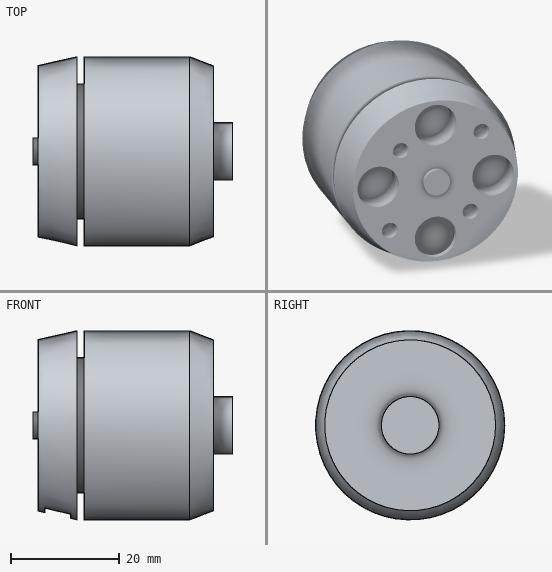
import cadquery as cq
import math

front_face_x = 1.0
head_end_x = 8.2
body_start_x = 9.5
taper_start_x = 29.05
body_end_x = 33.45
shaft_end_x = 37.0

pin_diameter = 5.0
front_face_diameter = 31.75
body_diameter = 35.0
neck_diameter = 25.0
rear_face_diameter = 31.6
shaft_diameter = 10.65

hole_depth = 4.45
large_hole_diameter = 8.0
large_hole_pitch_radius = 11.05
small_hole_diameter = 3.0
inner_pitch_radius = 9.5
outer_pitch_radius = 12.5

window_start_x = 2.22
window_end_x = 7.0
window_width = 10.25
window_top_z = large_hole_diameter / 2 - large_hole_pitch_radius


def cylinder_section(diameter, start_x, end_x):
    """Round bar along X."""
    return cq.Workplane("YZ", origin=(start_x, 0, 0)).circle(diameter / 2).extrude(end_x - start_x)


def turned_body():
    """Tapered head, neck, rear-tapered barrel and both shaft ends revolved about X."""
    return (
        cq.Workplane("XY")
        .moveTo(0, 0)
        .lineTo(0, pin_diameter / 2)
        .lineTo(front_face_x, pin_diameter / 2)
        .lineTo(front_face_x, front_face_diameter / 2)
        .lineTo(head_end_x, body_diameter / 2)
        .lineTo(head_end_x, neck_diameter / 2)
        .lineTo(body_start_x, neck_diameter / 2)
        .lineTo(body_start_x, body_diameter / 2)
        .lineTo(taper_start_x, body_diameter / 2)
        .lineTo(body_end_x, rear_face_diameter / 2)
        .lineTo(body_end_x, shaft_diameter / 2)
        .lineTo(shaft_end_x, shaft_diameter / 2)
        .lineTo(shaft_end_x, 0)
        .close()
        .revolve(360, (0, 0, 0), (1, 0, 0))
    )


def front_hole(diameter, pitch_radius, angle):
    """Blind hole cutter; the angle runs from +Y towards +Z."""
    y = pitch_radius * math.cos(math.radians(angle))
    z = pitch_radius * math.sin(math.radians(angle))
    return cylinder_section(diameter, front_face_x, front_face_x + hole_depth).translate((0, y, z))


def window():
    """Rectangular cutter running down through the rim of the head."""
    bottom_z = -body_diameter / 2
    return cq.Workplane("XY", origin=(window_start_x, 0, bottom_z)).box(
        window_end_x - window_start_x,
        window_width,
        window_top_z - bottom_z,
        centered=(False, True, False),
    )


result = turned_body()

for angle in (0, 90, 180, 270):
    result = result.cut(front_hole(large_hole_diameter, large_hole_pitch_radius, angle))

for angle in (45, 225):
    result = result.cut(front_hole(small_hole_diameter, inner_pitch_radius, angle))
    result = result.cut(front_hole(small_hole_diameter, outer_pitch_radius, angle + 90))

result = result.cut(window())